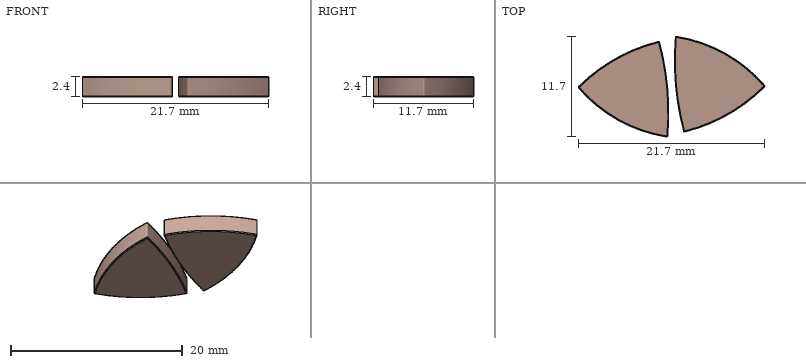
import cadquery as cq
import math

thickness = 2.4
edge_chamfer = 0.1
corner_radius = 0.15

rear_corner = (0.45, 5.87)
tip_corner = (10.9, 0.07)
front_corner = (1.43, -5.29)

inner_bulge = 0.5
rear_bulge = 1.08
front_bulge = 0.75

plate_count = 2
plate_spacing_angle = 360 / plate_count


def bowed_midpoint(start, end, bulge):
    """Middle of a side running clockwise from start to end, pushed outward by bulge."""
    run_x = end[0] - start[0]
    run_y = end[1] - start[1]
    length = math.hypot(run_x, run_y)
    mid_x = (start[0] + end[0]) / 2
    mid_y = (start[1] + end[1]) / 2
    return (mid_x - bulge * run_y / length, mid_y + bulge * run_x / length)


def make_plate(angle):
    """One plate, turned by angle about the Z axis."""
    outline = (
        cq.Workplane("XY")
        .moveTo(*rear_corner)
        .threePointArc(bowed_midpoint(rear_corner, tip_corner, rear_bulge), tip_corner)
        .threePointArc(bowed_midpoint(tip_corner, front_corner, front_bulge), front_corner)
        .threePointArc(bowed_midpoint(front_corner, rear_corner, inner_bulge), rear_corner)
        .close()
    )
    plate = outline.extrude(thickness).edges("|Z").fillet(corner_radius)
    plate = plate.faces("<Z or >Z").edges().chamfer(edge_chamfer)
    return plate.rotate((0, 0, 0), (0, 0, 1), angle)


plates = [make_plate(i * plate_spacing_angle) for i in range(plate_count)]

result = cq.Compound.makeCompound([plate.val() for plate in plates])